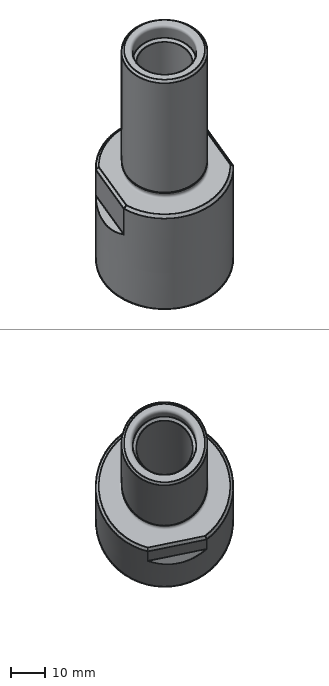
import cadquery as cq
import math

TOTAL_HEIGHT = 91.0
BODY_HEIGHT = 41.0
SEAM_HEIGHT = 16.5

BODY_DIAMETER = 40.0
BODY_BOTTOM_CHAMFER = 1.0
BODY_TOP_CHAMFER = 0.9

ACROSS_FLATS = 36.0
FLAT_BOTTOM = 29.0

STEM_DIAMETER = 25.0
STEM_TIP_DIAMETER = 23.5
NECK_DIAMETER = 24.6
NECK_FILLET = 0.8
NECK_STRAIGHT = 0.8
NECK_TAPER_HEIGHT = 0.55

BORE_DIAMETER = 16.38
COUNTERBORE_DIAMETER = 18.5
COUNTERBORE_DEPTH = 5.0
COUNTERBORE_FLOOR_SLOPE = 30.0
MOUTH_FILLET = 1.0

BODY_RADIUS = BODY_DIAMETER / 2
STEM_RADIUS = STEM_DIAMETER / 2
NECK_RADIUS = NECK_DIAMETER / 2
STEM_TIP_RADIUS = STEM_TIP_DIAMETER / 2
BORE_RADIUS = BORE_DIAMETER / 2
COUNTERBORE_RADIUS = COUNTERBORE_DIAMETER / 2


def make_lower_body():
    """Plain cylinder below the seam, chamfered around its underside."""
    lower = cq.Workplane("XY").circle(BODY_RADIUS).extrude(SEAM_HEIGHT)
    return lower.faces("<Z").edges().chamfer(BODY_BOTTOM_CHAMFER)


def make_flat_cutter():
    """Cutter for the -Y flat, with a 45 degree run-out at its lower end."""
    flat_y = -ACROSS_FLATS / 2
    runout = BODY_RADIUS - ACROSS_FLATS / 2
    return (
        cq.Workplane("YZ")
        .moveTo(flat_y, BODY_HEIGHT)
        .lineTo(flat_y, FLAT_BOTTOM)
        .lineTo(flat_y - runout, FLAT_BOTTOM - runout)
        .lineTo(flat_y - runout, BODY_HEIGHT)
        .close()
        .extrude(BODY_RADIUS, both=True)
    )


def make_upper_body():
    """Cylinder above the seam with two wrench flats and a chamfered top outline."""
    upper = (
        cq.Workplane("XY")
        .workplane(offset=SEAM_HEIGHT)
        .circle(BODY_RADIUS)
        .extrude(BODY_HEIGHT - SEAM_HEIGHT)
    )
    cutter = make_flat_cutter()
    upper = upper.cut(cutter).cut(cutter.mirror("XZ"))
    return upper.faces(">Z").edges().chamfer(BODY_TOP_CHAMFER)


def make_stem():
    """Revolved stem: concave root fillet, straight neck, taper, shank and tip chamfer."""
    fillet_top = BODY_HEIGHT + NECK_FILLET
    neck_top = fillet_top + NECK_STRAIGHT
    tip_chamfer = STEM_RADIUS - STEM_TIP_RADIUS
    return (
        cq.Workplane("XZ")
        .moveTo(0, BODY_HEIGHT)
        .lineTo(NECK_RADIUS + NECK_FILLET, BODY_HEIGHT)
        .radiusArc((NECK_RADIUS, fillet_top), NECK_FILLET)
        .lineTo(NECK_RADIUS, neck_top)
        .lineTo(STEM_RADIUS, neck_top + NECK_TAPER_HEIGHT)
        .lineTo(STEM_RADIUS, TOTAL_HEIGHT - tip_chamfer)
        .lineTo(STEM_TIP_RADIUS, TOTAL_HEIGHT)
        .lineTo(0, TOTAL_HEIGHT)
        .close()
        .revolve(360, (0, 0, 0), (0, 1, 0))
    )


def make_bore():
    """Revolved cutter: through bore, cone-floored counterbore and rounded mouth."""
    step = COUNTERBORE_RADIUS - BORE_RADIUS
    floor_drop = step * math.tan(math.radians(COUNTERBORE_FLOOR_SLOPE))
    floor_rim = TOTAL_HEIGHT - COUNTERBORE_DEPTH
    return (
        cq.Workplane("XZ")
        .lineTo(BORE_RADIUS, 0)
        .lineTo(BORE_RADIUS, floor_rim - floor_drop)
        .lineTo(COUNTERBORE_RADIUS, floor_rim)
        .lineTo(COUNTERBORE_RADIUS, TOTAL_HEIGHT - MOUTH_FILLET)
        .radiusArc((COUNTERBORE_RADIUS + MOUTH_FILLET, TOTAL_HEIGHT), MOUTH_FILLET)
        .lineTo(0, TOTAL_HEIGHT)
        .close()
        .revolve(360, (0, 0, 0), (0, 1, 0))
    )


body = make_lower_body().union(make_upper_body(), clean=False)
solid_part = body.union(make_stem(), clean=False)
result = solid_part.cut(make_bore(), clean=False)